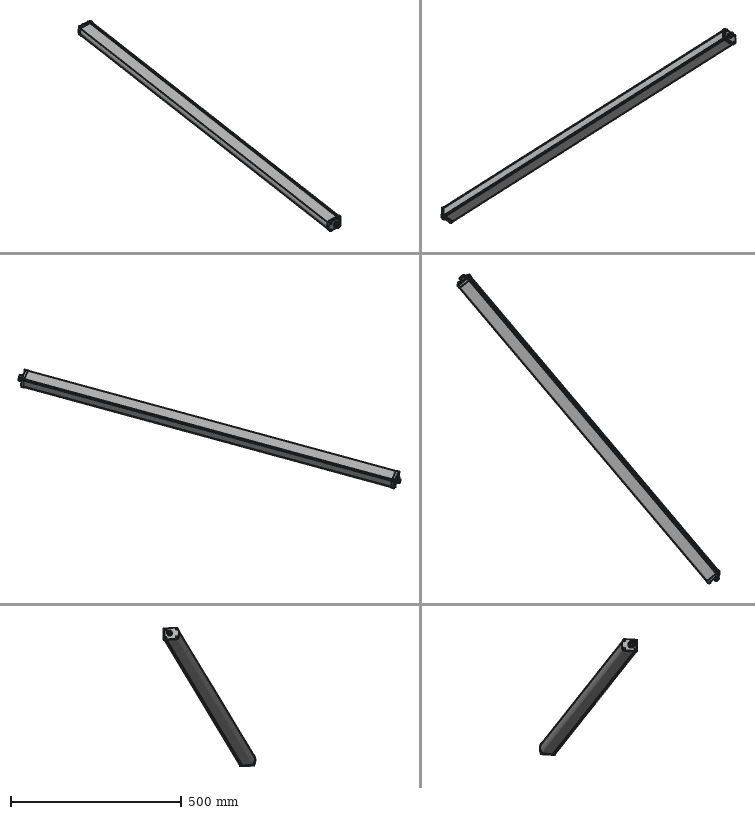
import cadquery as cq
import math

TOTAL_LENGTH = 1179.1
TOTAL_WIDTH = 46.2
TOTAL_HEIGHT = 34.28
END_X = TOTAL_LENGTH / 2
BACK_Y = TOTAL_WIDTH / 2
FRONT_Y = -TOTAL_WIDTH / 2

CAP_HALF_HEIGHT = TOTAL_HEIGHT / 2
CAP_ARCH_RADIUS = 27.0
CAP_CORNER_RADIUS = 3.9
CAP_FACE_SETBACK = 11.5
CAP_THICKNESS = 8.1
CAP_FACE_X = END_X - CAP_FACE_SETBACK
BODY_END_X = CAP_FACE_X - CAP_THICKNESS

BODY_FRONT_Y = FRONT_Y + 0.7
BODY_BACK_Y = BACK_Y - 1.1
BODY_HALF_HEIGHT = 16.04
BODY_ARCH_RADIUS = 24.8
BODY_CORNER_RADIUS = 4.37

COVER_PROUD = 0.3
COVER_LIP_Z = 12.2

SHELF_Y = 15.5
SHELF_STEP = 0.3
PLATE_Y = 19.6
PLATE_STEP = 0.4
PLATE_END_RECESS = 0.3

SCREW_HEAD_DIAMETER = 5.5
SCREW_HEAD_HEIGHT = 2.5
SCREW_Y = 16.5
SCREW_Z = 13.4

CONNECTOR_Y = 4.0
PLUG_DIAMETER = 13.2
PLUG_FLANGE_DIAMETER = 13.8
PLUG_FLANGE_LENGTH = 0.6
PLUG_COLLAR_LENGTH = 3.0
PLUG_GROOVE_DIAMETER = 11.0
PLUG_TIP_LENGTH = 5.3
PLUG_BORE_DIAMETER = 8.0
PLUG_BORE_DEPTH = 5.0
PLUG_PIN_DIAMETER = 3.5
NUT_DIAMETER = 19.0
NUT_LENGTH = 9.3
NUT_CHAMFER_LENGTH = 2.2
NUT_CHAMFER_DEPTH = 0.8
NUT_BORE_DIAMETER = 10.0
NUT_BORE_DEPTH = 6.0


def arched_section(x_start, length, front_y, half_height, arch_radius, corner_radius):
    """Prism along X with an arched front, rounded front corners and a stepped-down shelf behind."""
    shelf_z = half_height - SHELF_STEP

    arch_center_y = front_y + arch_radius
    corner_z = half_height - corner_radius
    tilt = math.asin(corner_z / (arch_radius - corner_radius))
    corner_y = arch_center_y - (arch_radius - corner_radius) * math.cos(tilt)
    touch_y = arch_center_y - arch_radius * math.cos(tilt)
    touch_z = arch_radius * math.sin(tilt)
    mid_angle = (tilt + math.pi / 2) / 2
    mid_y = corner_y - corner_radius * math.cos(mid_angle)
    mid_z = corner_z + corner_radius * math.sin(mid_angle)
    return (
        cq.Workplane("YZ", origin=(x_start, 0, 0))
        .moveTo(SHELF_Y, half_height)
        .lineTo(corner_y, half_height)
        .threePointArc((mid_y, mid_z), (touch_y, touch_z))
        .threePointArc((front_y, 0), (touch_y, -touch_z))
        .threePointArc((mid_y, -mid_z), (corner_y, -half_height))
        .lineTo(SHELF_Y, -half_height)
        .lineTo(SHELF_Y, -shelf_z)
        .lineTo(PLATE_Y, -shelf_z)
        .lineTo(PLATE_Y, shelf_z)
        .lineTo(SHELF_Y, shelf_z)
        .close()
        .extrude(length)
    )


def back_plate(x_center, length, back_y, half_height):
    """Flat plate closing the back, a little lower than the section it is joined to."""
    height = 2 * (half_height - PLATE_STEP)
    return cq.Workplane("XY", origin=(x_center, PLATE_Y, 0)).box(
        length, back_y - PLATE_Y, height, centered=(True, False, True)
    )


def body_section(front_y):
    return arched_section(
        -BODY_END_X, 2 * BODY_END_X, front_y, BODY_HALF_HEIGHT, BODY_ARCH_RADIUS, BODY_CORNER_RADIUS
    )


def make_body():
    length = 2 * BODY_END_X
    cover_zone = cq.Workplane("XY", origin=(0, FRONT_Y, COVER_LIP_Z)).box(
        length, -FRONT_Y, BODY_HALF_HEIGHT, centered=(True, False, False)
    )
    cover_front = body_section(BODY_FRONT_Y - COVER_PROUD).intersect(cover_zone)
    plate = back_plate(0, length, BODY_BACK_Y, BODY_HALF_HEIGHT)
    return body_section(BODY_FRONT_Y).union(cover_front).union(plate)


def make_cap(side):
    """End cap with four screw heads; `side` is -1 for the -X end and +1 for the +X end."""
    cap = arched_section(
        side * BODY_END_X,
        side * CAP_THICKNESS,
        FRONT_Y,
        CAP_HALF_HEIGHT,
        CAP_ARCH_RADIUS,
        CAP_CORNER_RADIUS,
    )
    plate_length = CAP_THICKNESS - PLATE_END_RECESS
    plate = back_plate(side * (BODY_END_X + plate_length / 2), plate_length, BACK_Y, CAP_HALF_HEIGHT)
    heads = (
        cq.Workplane("YZ", origin=(side * CAP_FACE_X, 0, 0))
        .rarray(2 * SCREW_Y, 2 * SCREW_Z, 2, 2)
        .circle(SCREW_HEAD_DIAMETER / 2)
        .extrude(side * SCREW_HEAD_HEIGHT)
    )
    return cap.union(plate).union(heads)


def connector_cylinder(x_start, length, diameter):
    return cq.Workplane("YZ", origin=(x_start, CONNECTOR_Y, 0)).circle(diameter / 2).extrude(length)


def make_plug():
    """Pin connector on the -X end: flange, collar, groove, and a hollow tip around a pin."""
    flange = connector_cylinder(-CAP_FACE_X, -PLUG_FLANGE_LENGTH, PLUG_FLANGE_DIAMETER)
    collar = connector_cylinder(-CAP_FACE_X, -PLUG_COLLAR_LENGTH, PLUG_DIAMETER)
    core = connector_cylinder(-CAP_FACE_X, -CAP_FACE_SETBACK, PLUG_GROOVE_DIAMETER)
    tip = connector_cylinder(-END_X, PLUG_TIP_LENGTH, PLUG_DIAMETER)
    bore = connector_cylinder(-END_X, PLUG_BORE_DEPTH, PLUG_BORE_DIAMETER)
    pin = connector_cylinder(-END_X, PLUG_BORE_DEPTH, PLUG_PIN_DIAMETER)
    return flange.union(collar).union(core).union(tip).cut(bore).union(pin)


def make_nut():
    """Coupling nut on the +X end, on a short neck, tapered and bored at its free end."""
    neck = connector_cylinder(CAP_FACE_X, CAP_FACE_SETBACK - NUT_LENGTH, PLUG_DIAMETER)
    barrel = connector_cylinder(END_X - NUT_LENGTH, NUT_LENGTH - NUT_CHAMFER_LENGTH, NUT_DIAMETER)
    taper = barrel.faces(">X").wires().toPending().workplane(offset=NUT_CHAMFER_LENGTH)
    nut = taper.circle(NUT_DIAMETER / 2 - NUT_CHAMFER_DEPTH).loft(combine=True)
    bore = connector_cylinder(END_X, -NUT_BORE_DEPTH, NUT_BORE_DIAMETER)
    return neck.union(nut).cut(bore)


result = make_body()
for feature in (make_cap(-1), make_cap(1), make_plug(), make_nut()):
    result = result.union(feature)